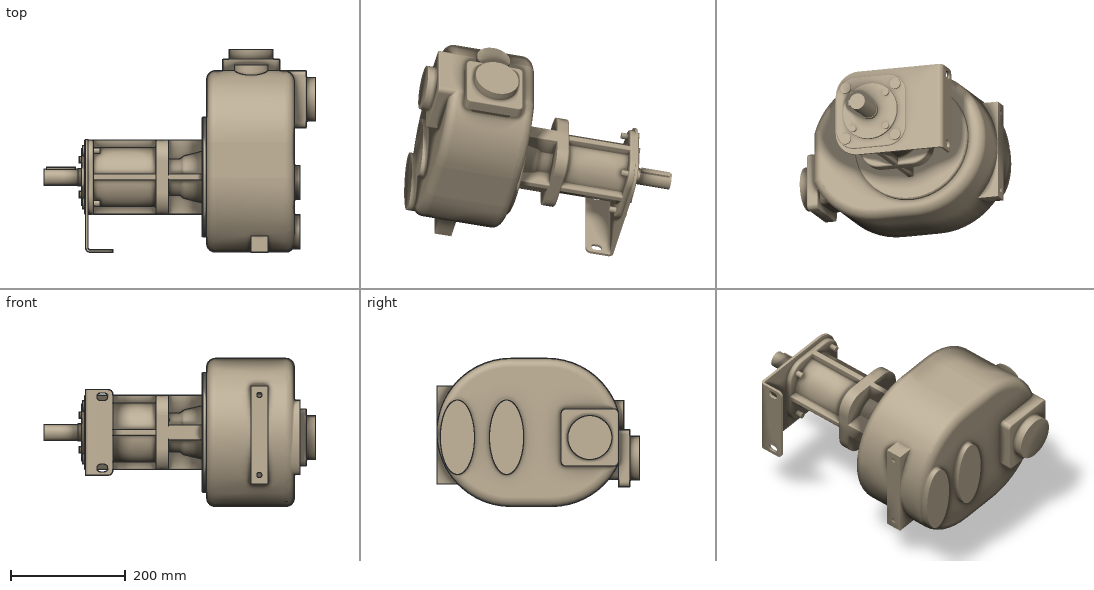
import cadquery as cq


shaft_radius = 14.0
collar_radius = 15.0
collar_start = 59.5
key_start = 4.3
key_end = 55.0
key_width = 9.5
key_top = 17.5

cover_front = 65.5
cover_radius = 49.5
cover_bolt_front = 61.5
cover_bolt_radius = 5.5
cover_bolt_offset = 30.2
pad_front = 70.5
pad_width = 128.5
pad_rounding = 2.0

plate_front = 72.5
sheet = 4.5
plate_rear = plate_front + sheet
plate_top_y = 65.5
foot_y = -131.0
bracket_height = 149.5
plate_corner = 42.0
bend_radius = 8.0
tab_end = 120.0
tab_corner = 8.5
slot_x = 101.5
slot_z = 62.0
slot_length = 19.0
slot_width = 13.0
corner_bolt_front = 67.0
corner_bolt_radius = 9.5
corner_bolt_offset = 46.0
stud_radius = 5.0
stud_length = 12.0

housing_width = 129.5
housing_corner = 35.0
front_flange_end = 86.0
rear_flange_start = 194.5
rear_flange_end = 216.5
barrel_radius = 51.5
barrel_blend = 3.0
rib_thickness = 10.5
rib_rounding = 2.0
flange_rounding = 3.0
thick_rib = 26.5

neck_radius = 34.5
neck_end = 237.0
cone_start = 243.5
cone_start_radius = 39.0
cone_end_radius = 47.0
neck_blend = 7.0
neck_root_blend = 2.0

cover_plate_front = 274.5
cover_plate_radius = 104.5
cover_plate_chamfer = 2.0
casing_front = 283.0
casing_rear = 435.5
casing_radius = 129.0
casing_clearance = 0.25
casing_center_y = foot_y + casing_clearance + casing_radius
upper_center_y = 61.0
lower_center_y = 68.0
casing_flat_y = 185.0
casing_rounding = 15.5

foot_center_x = 374.5
foot_width = 30.0
foot_top_z = 81.0
foot_bottom_z = -90.0
foot_inner_y = -56.5
foot_hole_diameter = 9.0
foot_hole_depth = 19.0
foot_hole_spacing = 139.5

port_flange_width = 99.5
port_corner = 8.0
port_flange_rounding = 2.0
port_pipe_radius = 38.5
pipe_blend = 2.0
suction_y = casing_flat_y - port_flange_width / 2
suction_z = -9.0
suction_root = casing_rear - casing_rounding
suction_flange_end = 456.5
suction_end = 472.5
discharge_x = 360.5
discharge_z = -45.0
discharge_flange_end = 205.0
discharge_end = 222.0
discharge_neck_width = 74.5
discharge_neck_root = 132.5

rear_boss_end = 445.5
rear_boss_centers_y = (-9.5, -95.0)
rear_boss_z = -8.5
rear_boss_half_width = 30.0
rear_boss_half_height = 64.5
rear_boss_root = 401.5
rear_boss_blend = 3.0
side_boss_end = 194.5
side_boss_z = 30.5
side_boss_half_width = 29.5
side_boss_half_height = 25.0
side_boss_root = 151.0


def plane_x(x):
    """YZ sketch plane at the given X, extruding toward +X."""
    return cq.Workplane("YZ", origin=(x, 0, 0))


def plane_y(y):
    """XZ sketch plane at the given Y, extruding toward -Y."""
    return cq.Workplane("XZ", origin=(0, y, 0))


def rod(x_start, x_end, radius, centers=((0, 0),)):
    """Round bars along X at the given (Y, Z) centers."""
    return plane_x(x_start).pushPoints(centers).circle(radius).extrude(x_end - x_start)


def box(x_range, y_range, z_range):
    """Box between the given limits."""
    corner = (x_range[0], y_range[0], z_range[0])
    lengths = (x_range[1] - x_range[0], y_range[1] - y_range[0], z_range[1] - z_range[0])
    return cq.Workplane("XY").box(*lengths, centered=False).translate(corner)


def rounded_square(x_start, x_end, width, corner):
    """Square slab with rounded corners, centered on the shaft axis."""
    slab = plane_x(x_start).rect(width, width).extrude(x_end - x_start)
    return slab.edges("|X").fillet(corner)


def square_corners(offset):
    """Four (Y, Z) points on the corners of a square around the shaft."""
    return [(y, z) for y in (-offset, offset) for z in (-offset, offset)]


def make_shaft():
    shaft = rod(0, cover_front, shaft_radius)
    collar = rod(collar_start, cover_front, collar_radius)
    half_key = key_width / 2
    key = box((key_start, key_end), (0, key_top), (-half_key, half_key))
    return shaft.union(collar).union(key)


def make_bearing_cover():
    cover = rod(cover_front, plate_rear, cover_radius)
    pad = rounded_square(pad_front, plate_rear, pad_width, housing_corner)
    pad = pad.faces("<X").edges().fillet(pad_rounding)
    cover_bolts = rod(cover_bolt_front, plate_rear, cover_bolt_radius, square_corners(cover_bolt_offset))
    corner_points = square_corners(corner_bolt_offset)
    corner_bolts = rod(corner_bolt_front, plate_rear, corner_bolt_radius, corner_points)
    return cover.union(pad).union(cover_bolts).union(corner_bolts)


def make_bracket():
    half_height = bracket_height / 2
    z_range = (-half_height, half_height)
    plate = box((plate_front, plate_rear), (foot_y, plate_top_y), z_range)
    plate = plate.edges("|X and >Y").fillet(plate_corner)
    tab = box((plate_front, tab_end), (foot_y, foot_y + sheet), z_range)
    tab = tab.edges("|Y and >X").fillet(tab_corner)
    bracket = plate.union(tab)
    bracket = bracket.edges("|Z and <X and <Y").fillet(bend_radius)
    inner_edge = cq.selectors.NearestToPointSelector((plate_rear, foot_y + sheet, 0))
    bracket = bracket.edges(inner_edge).fillet(bend_radius - sheet)
    slots = (
        plane_y(foot_y + 2 * sheet)
        .pushPoints([(slot_x, -slot_z), (slot_x, slot_z)])
        .slot2D(slot_length, slot_width)
        .extrude(3 * sheet)
    )
    return bracket.cut(slots)


def make_rib_cross(x_start, x_end, upright_thickness, level_thickness):
    """Cross of upright (Z) and level (Y) ribs with rounded outer edges."""
    length = x_end - x_start
    upright = plane_x(x_start).rect(upright_thickness, housing_width).extrude(length)
    level = plane_x(x_start).rect(level_thickness, housing_width).extrude(length)
    level = level.rotate((0, 0, 0), (1, 0, 0), 90)
    upright = upright.edges("|X").fillet(rib_rounding)
    level = level.edges("|X").fillet(rib_rounding)
    return upright.union(level)


def make_neck_core():
    """Turned neck that widens toward the casing."""
    profile = [
        (rear_flange_end, 0),
        (rear_flange_end, neck_radius),
        (neck_end, neck_radius),
        (cone_start, cone_start_radius),
        (cover_plate_front, cone_end_radius),
        (cover_plate_front, 0),
    ]
    core = cq.Workplane("XY").polyline(profile).close().revolve(360, (0, 0, 0), (1, 0, 0))
    for x in (neck_end, cone_start):
        core = core.edges(cq.selectors.NearestToPointSelector((x, 0, 0))).fillet(neck_blend)
    return core


def make_housing():
    front_flange = rounded_square(plate_rear, front_flange_end, housing_width, housing_corner)
    rear_flange = rounded_square(rear_flange_start, rear_flange_end, housing_width, housing_corner)
    barrel = rod(front_flange_end, rear_flange_start, barrel_radius)
    front_flange = front_flange.faces(">X").edges().fillet(flange_rounding)
    rear_flange = rear_flange.faces("<X").edges().fillet(flange_rounding)
    housing = front_flange.union(rear_flange).union(barrel)
    for x in (front_flange_end, rear_flange_start):
        barrel_root = cq.selectors.NearestToPointSelector((x, 0, 0))
        housing = housing.edges(barrel_root).fillet(barrel_blend)
    housing = housing.union(make_neck_core())
    neck_root = cq.selectors.NearestToPointSelector((rear_flange_end, 0, 0))
    housing = housing.edges(neck_root).fillet(neck_root_blend)
    barrel_ribs = make_rib_cross(front_flange_end, rear_flange_start, rib_thickness, rib_thickness)
    neck_ribs = make_rib_cross(rear_flange_end, cover_plate_front, rib_thickness, thick_rib)
    studs = rod(plate_rear, front_flange_end + stud_length, stud_radius, square_corners(corner_bolt_offset))
    return housing.union(barrel_ribs).union(neck_ribs).union(studs)


def make_casing():
    def flat_height(center_y):
        return (casing_radius**2 - (casing_flat_y - center_y) ** 2) ** 0.5

    def arc_middle(center_y):
        half_run = (casing_flat_y - center_y) / 2
        return center_y + half_run, (casing_radius**2 - half_run**2) ** 0.5

    upper_y, upper_z = arc_middle(upper_center_y)
    lower_y, lower_z = arc_middle(lower_center_y)
    casing = (
        plane_x(casing_front)
        .moveTo(casing_center_y, casing_radius)
        .lineTo(upper_center_y, casing_radius)
        .threePointArc((upper_y, upper_z), (casing_flat_y, flat_height(upper_center_y)))
        .lineTo(casing_flat_y, -flat_height(lower_center_y))
        .threePointArc((lower_y, -lower_z), (lower_center_y, -casing_radius))
        .lineTo(casing_center_y, -casing_radius)
        .threePointArc((casing_center_y - casing_radius, 0), (casing_center_y, casing_radius))
        .close()
        .extrude(casing_rear - casing_front)
        .faces("<X or >X")
        .edges()
        .fillet(casing_rounding)
    )
    cover_plate = rod(cover_plate_front, casing_front, cover_plate_radius)
    cover_plate = cover_plate.faces("<X").edges().chamfer(cover_plate_chamfer)
    return casing.union(cover_plate)


def make_foot():
    half_width = foot_width / 2
    x_range = (foot_center_x - half_width, foot_center_x + half_width)
    foot = box(x_range, (foot_y, foot_inner_y), (foot_bottom_z, foot_top_z))
    return (
        foot.faces("<Y")
        .workplane(centerOption="CenterOfBoundBox")
        .rarray(4.5, foot_hole_spacing, 1, 2)
        .hole(foot_hole_diameter, foot_hole_depth)
    )


def make_port(plane, root_to_face, face_to_end):
    """Square flange with a round pipe stub, built along the normal of the plane."""
    flange = plane.rect(port_flange_width, port_flange_width).extrude(root_to_face)
    normal = plane.plane.zDir
    flange = flange.edges(cq.selectors.ParallelDirSelector(normal)).fillet(port_corner)
    flange = flange.faces(cq.selectors.DirectionMinMaxSelector(normal)).edges().fillet(port_flange_rounding)
    pipe = plane.circle(port_pipe_radius).extrude(root_to_face + face_to_end)
    pipe_root = plane.plane.origin + normal * root_to_face
    port = flange.union(pipe)
    return port.edges(cq.selectors.NearestToPointSelector(pipe_root.toTuple())).fillet(pipe_blend)


def make_suction():
    plane = plane_x(suction_root).center(suction_y, suction_z)
    return make_port(plane, suction_flange_end - suction_root, suction_end - suction_flange_end)


def make_discharge():
    plane = cq.Workplane(
        cq.Plane(origin=(discharge_x, casing_flat_y, discharge_z), xDir=(1, 0, 0), normal=(0, 1, 0))
    )
    port = make_port(plane, discharge_flange_end - casing_flat_y, discharge_end - discharge_flange_end)
    neck = plane.rect(discharge_neck_width, discharge_neck_width).extrude(discharge_neck_root - casing_flat_y)
    return port.union(neck.edges("|Y").fillet(port_corner))


def add_rear_bosses(casing):
    """Adds two upright elliptical bosses to the rear of the casing, blended at the root."""
    centers = [(y, rear_boss_z) for y in rear_boss_centers_y]
    bosses = (
        plane_x(rear_boss_root)
        .pushPoints(centers)
        .ellipse(rear_boss_half_width, rear_boss_half_height)
        .extrude(rear_boss_end - rear_boss_root)
    )
    root_region = cq.selectors.BoxSelector(
        (casing_rear - casing_rounding, -casing_radius, -casing_radius),
        (casing_rear + rear_boss_blend, casing_radius, casing_radius),
    )
    return casing.union(bosses).edges("%BSPLINE").edges(root_region).fillet(rear_boss_blend)


def make_side_boss():
    """Elliptical boss on the +Y flat, above the discharge flange."""
    return (
        plane_y(side_boss_root)
        .center(discharge_x, side_boss_z)
        .ellipse(side_boss_half_width, side_boss_half_height)
        .extrude(side_boss_root - side_boss_end)
    )


def make_pump():
    body = add_rear_bosses(make_casing())
    for piece in (
        make_foot(),
        make_suction(),
        make_discharge(),
        make_side_boss(),
        make_housing(),
        make_bracket(),
        make_bearing_cover(),
        make_shaft(),
    ):
        body = body.union(piece)
    return body


result = make_pump()